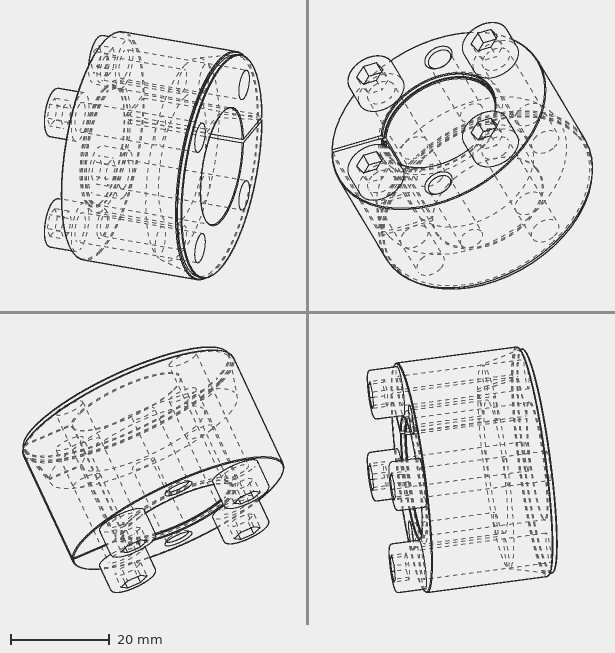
import cadquery as cq
import math


RING_DIAMETER = 47.0
RING_LENGTH = 25.0
LIP_BORE_DIAMETER = 24.8
LIP_THICKNESS = 0.95
HUB_BORE_DIAMETER = 27.25
TAPER_START = 17.4
EDGE_CHAMFER = 0.2

WEDGE_BORE_DIAMETER = 23.95
WEDGE_REAR_DIAMETER = 46.05
WEDGE_PROJECTION = 1.0
WEDGE_END = RING_LENGTH + WEDGE_PROJECTION
TAPER_HALF_ANGLE = 14.0

SLIT_WIDTH = 0.8

PITCH_RADIUS = 17.75
SCREW_ANGLES = (45, 135, 225, 315)
JACK_ANGLES = (90, 270)

HEAD_DIAMETER = 10.0
HEAD_HEIGHT = 6.0
HEAD_FILLET = 0.55
SHANK_DIAMETER = 6.0
SOCKET_ACROSS_FLATS = 5.0
SOCKET_DEPTH = 3.0

JACK_DIAMETER = 4.95
JACK_MOUTH_DIAMETER = 6.0


def cylinder(diameter, x_start, x_end, y=0, z=0):
    """Solid cylinder parallel to X, between two X positions."""
    base = cq.Workplane("YZ", origin=(x_start, y, z))
    return base.circle(diameter / 2).extrude(x_end - x_start)


def revolve_about_axis(profile):
    """Solid of revolution about X from a closed profile of (X, radius) points."""
    return cq.Workplane("XY").polyline(profile).close().revolve(360, (0, 0, 0), (1, 0, 0))


def pitch_points(angles):
    """(Y, Z) positions on the pitch circle."""
    return [
        (PITCH_RADIUS * math.cos(math.radians(a)), PITCH_RADIUS * math.sin(math.radians(a)))
        for a in angles
    ]


def cut_slit(body):
    """Cut the radial slit from the bore out through the +Y side."""
    slit = cq.Workplane("XY").box(
        WEDGE_END, RING_DIAMETER, SLIT_WIDTH, centered=(False, False, True)
    )
    return body.cut(slit)


def cut_screw_holes(body):
    """Cut a hole that fits each screw shank, right through the body."""
    for y, z in pitch_points(SCREW_ANGLES):
        body = body.cut(cylinder(SHANK_DIAMETER, 0, WEDGE_END, y, z))
    return body


def jack_hole(y, z):
    """Cutter for a jacking hole that ends on the wedge's step, with a 45 degree mouth."""
    mouth_depth = (JACK_MOUTH_DIAMETER - JACK_DIAMETER) / 2
    cutter = revolve_about_axis([
        (0, 0),
        (0, JACK_MOUTH_DIAMETER / 2),
        (mouth_depth, JACK_DIAMETER / 2),
        (TAPER_START, JACK_DIAMETER / 2),
        (TAPER_START, 0),
    ])
    return cutter.translate((0, y, z))


def taper_radius(x):
    """Radius of the cone that the ring and the wedge share, at an X position."""
    drop = (WEDGE_END - x) * math.tan(math.radians(TAPER_HALF_ANGLE))
    return WEDGE_REAR_DIAMETER / 2 - drop


def wedge_envelope():
    """Solid outer shape of the wedge: a nose behind the ring's lip, a step and a cone."""
    nose_radius = HUB_BORE_DIAMETER / 2
    return revolve_about_axis([
        (LIP_THICKNESS, 0),
        (LIP_THICKNESS, nose_radius),
        (TAPER_START, nose_radius),
        (TAPER_START, taper_radius(TAPER_START)),
        (WEDGE_END, taper_radius(WEDGE_END)),
        (WEDGE_END, 0),
    ])


def make_outer_ring():
    """Ring with an inner lip, a recess that fits the wedge, screw and jacking holes and the slit."""
    ring = cylinder(RING_DIAMETER, 0, RING_LENGTH)
    ring = ring.cut(cylinder(LIP_BORE_DIAMETER, 0, LIP_THICKNESS))
    ring = ring.cut(wedge_envelope())
    ring = ring.faces("<X").edges().chamfer(EDGE_CHAMFER)
    outer_rim = cq.selectors.RadiusNthSelector(-1)
    ring = ring.faces(">X").edges(outer_rim).chamfer(EDGE_CHAMFER)
    ring = cut_screw_holes(ring)
    for y, z in pitch_points(JACK_ANGLES):
        ring = ring.cut(jack_hole(y, z))
    return cut_slit(ring)


def make_wedge():
    """Bored wedge ring with chamfered rims at the bore and the rear, screw holes and the slit."""
    wedge = wedge_envelope().cut(cylinder(WEDGE_BORE_DIAMETER, LIP_THICKNESS, WEDGE_END))
    wedge = wedge.faces(">X").edges().chamfer(EDGE_CHAMFER)
    bore_rim = cq.selectors.RadiusNthSelector(0)
    wedge = wedge.faces("<X").edges(bore_rim).chamfer(EDGE_CHAMFER)
    return cut_slit(cut_screw_holes(wedge))


def make_screw(y, z):
    """Socket head screw seated on the ring's front face, its tip flush with the wedge's rear face."""
    head = cylinder(HEAD_DIAMETER, -HEAD_HEIGHT, 0, y, z)
    head = head.faces("<X").edges().fillet(HEAD_FILLET)
    screw = head.union(cylinder(SHANK_DIAMETER, 0, WEDGE_END, y, z))
    across_corners = SOCKET_ACROSS_FLATS / math.cos(math.pi / 6)
    socket = cq.Workplane("YZ", origin=(-HEAD_HEIGHT, y, z))
    socket = socket.polygon(6, across_corners).extrude(SOCKET_DEPTH)
    return screw.cut(socket)


outer_ring = make_outer_ring()
wedge = make_wedge()
screws = [make_screw(y, z) for y, z in pitch_points(SCREW_ANGLES)]

result = cq.Compound.makeCompound(
    [outer_ring.val(), wedge.val(), *[screw.val() for screw in screws]]
)